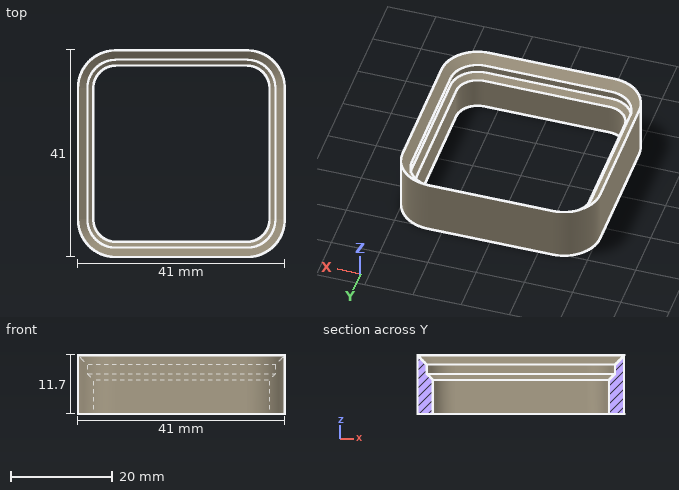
import cadquery as cq

side = 41.0
height = 11.7
corner_radius = 7.5

rim_inset = 1.9
rim_drop = 1.9
band_height = 1.8
ledge_inset = 1.2
ledge_drop = 1.2

band_top = height - rim_drop
ledge_top = band_top - band_height
throat_top = ledge_top - ledge_drop
throat_inset = rim_inset + ledge_inset


def rounded_square(inset, z):
    """Closed outline offset inwards from the outer wall, at height z."""
    half = side / 2 - inset
    radius = corner_radius - inset
    flat = half - radius
    diagonal = flat + radius * 0.5 ** 0.5
    return (
        cq.Workplane("XY", origin=(0, 0, z))
        .moveTo(-flat, -half)
        .lineTo(flat, -half)
        .threePointArc((diagonal, -diagonal), (half, -flat))
        .lineTo(half, flat)
        .threePointArc((diagonal, diagonal), (flat, half))
        .lineTo(-flat, half)
        .threePointArc((-diagonal, diagonal), (-half, flat))
        .lineTo(-half, -flat)
        .threePointArc((-diagonal, -diagonal), (-flat, -half))
        .close()
    )


def opening_section(lower_inset, lower_z, upper_inset, upper_z):
    """Solid filling the opening between two heights, straight or sloped."""
    lower = rounded_square(lower_inset, lower_z).wires().val()
    upper = rounded_square(upper_inset, upper_z).wires().val()
    return cq.Workplane(cq.Solid.makeLoft([lower, upper], True))


profile = [
    (throat_inset, 0),
    (throat_inset, throat_top),
    (rim_inset, ledge_top),
    (rim_inset, band_top),
    (0, height),
]

result = rounded_square(0, 0).extrude(height)
for (lower_inset, lower_z), (upper_inset, upper_z) in zip(profile, profile[1:]):
    result = result.cut(opening_section(lower_inset, lower_z, upper_inset, upper_z))